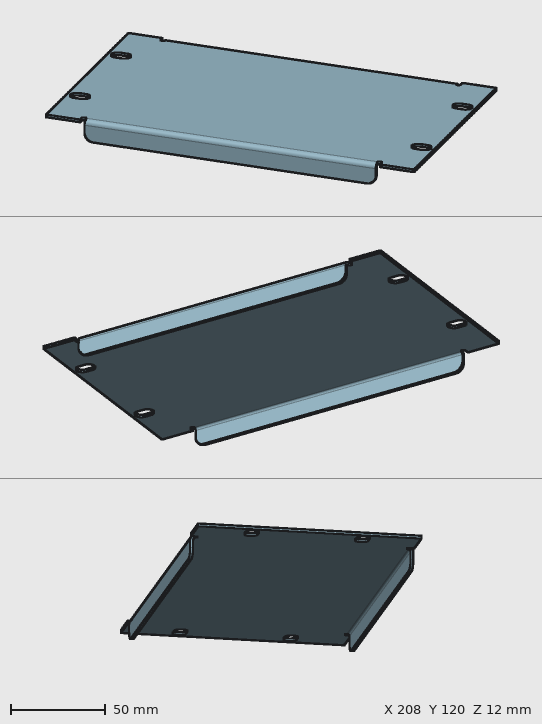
import cadquery as cq

length = 208.0
width = 120.0
height = 12.0
thickness = 1.6

flange_length = 164.7
inner_bend_radius = 1.2
outer_bend_radius = inner_bend_radius + thickness
flange_corner_radius = 5.0

notch_width = 2.5
notch_depth = 3.7

slot_length = 10.8
slot_width = 7.0
slot_edge_distance = 7.5
slot_spacing_y = 59.5


def flanged_channel():
    """Downward channel with rounded bends and rounded lower flange corners."""
    outside = (
        cq.Workplane("XY")
        .box(flange_length, width, height, centered=(True, True, False))
        .translate((0, 0, -height))
        .edges("|X and >Z")
        .fillet(outer_bend_radius)
    )
    inside = (
        cq.Workplane("XY")
        .box(flange_length, width - 2 * thickness, height, centered=(True, True, False))
        .translate((0, 0, -height - thickness))
        .edges("|X and >Z")
        .fillet(inner_bend_radius)
    )
    return outside.cut(inside).edges("|Y and <Z").fillet(flange_corner_radius)


def flat_plate():
    """Flat web between the bends, with full-width ears at both ends."""
    web_width = width - 2 * outer_bend_radius
    ear_length = (length - flange_length) / 2
    ear_centre = (length - ear_length) / 2
    web = cq.Workplane("XY").rect(length, web_width).extrude(-thickness)
    ears = (
        cq.Workplane("XY")
        .pushPoints([(-ear_centre, 0), (ear_centre, 0)])
        .rect(ear_length, width)
        .extrude(-thickness)
    )
    return web.union(ears)


def relief_notches():
    """Cutters open at the long edges, each ending in a half circle."""
    notch_x = (flange_length + notch_width) / 2
    return (
        cq.Workplane("XY")
        .rect(2 * notch_x, width, forConstruction=True)
        .vertices()
        .slot2D(2 * notch_depth, notch_width, 90)
        .extrude(-thickness)
    )


def mounting_slots():
    """Four slot cutters, lengthwise along X, near the plate ends."""
    return (
        cq.Workplane("XY")
        .rect(length - 2 * slot_edge_distance, slot_spacing_y, forConstruction=True)
        .vertices()
        .slot2D(slot_length, slot_width)
        .extrude(-thickness)
    )


notched_plate = flat_plate().cut(relief_notches())
result = notched_plate.union(flanged_channel()).cut(mounting_slots())